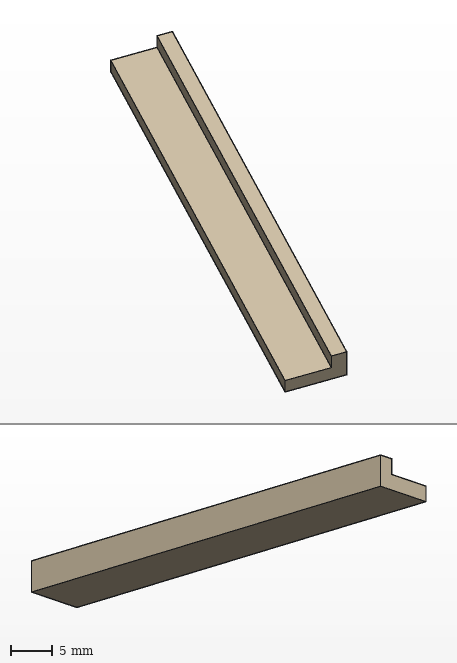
import cadquery as cq

length = 58.0
depth = 8.0
height = 4.0

thickness = height / 2

profile = [
    (0, 0),
    (depth, 0),
    (depth, height),
    (depth - thickness, height),
    (depth - thickness, thickness),
    (0, thickness),
]

result = cq.Workplane("YZ").polyline(profile).close().extrude(length)